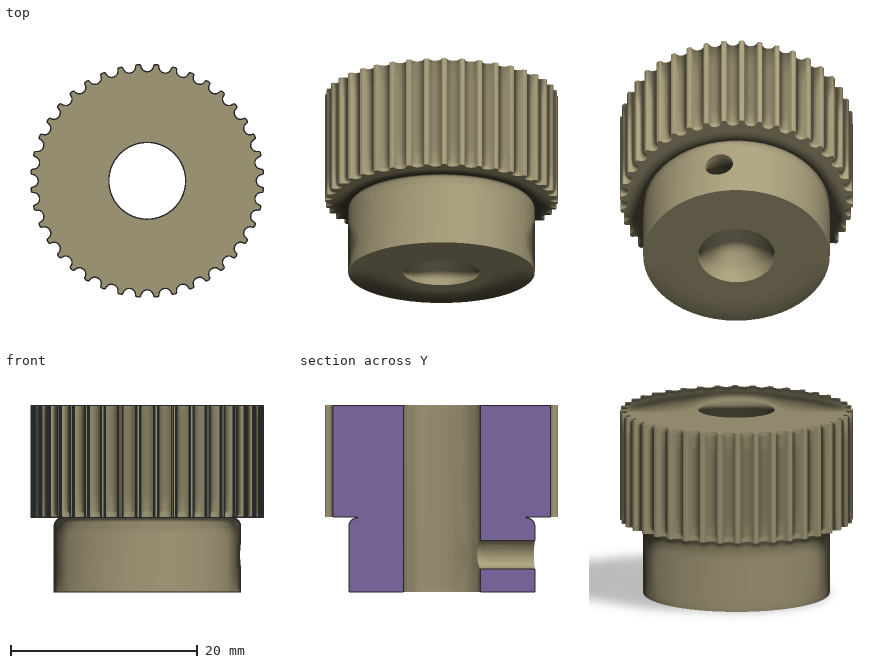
import cadquery as cq
import math

tooth_count = 40
belt_pitch = 2.0
pitch_line_offset = 0.254
total_height = 20.0
hub_height = 8.0
hub_radius = 10.0
hub_fillet = 1.0
bore_diameter = 8.2
set_screw_diameter = 3.0
set_screw_height = hub_height / 2

groove_corners = [
    (0.747183, 0.0),
    (0.647876, 0.037218),
    (0.598311, 0.130528),
    (0.578556, 0.238423),
    (0.547158, 0.343077),
    (0.504649, 0.443762),
    (0.451556, 0.53975),
    (0.358229, 0.636924),
    (0.2484, 0.707276),
    (0.127259, 0.750044),
]
groove_depth = 0.764451
belt_tooth_width = 1.494
width_clearance = 0.2

crest_radius = tooth_count * belt_pitch / (2 * math.pi) - pitch_line_offset
tooth_angle = 2 * math.pi / tooth_count


def rotate(point, angle):
    x, y = point
    return (
        x * math.cos(angle) - y * math.sin(angle),
        x * math.sin(angle) + y * math.cos(angle),
    )


def groove_points():
    """Corners of the groove centred on +X, in order of increasing Y."""
    stretch = (belt_tooth_width + width_clearance) / belt_tooth_width
    mouth_half_width = groove_corners[0][0] * stretch
    mouth_distance = math.sqrt(crest_radius**2 - mouth_half_width**2)

    lower = [(mouth_distance - depth, -half * stretch) for half, depth in groove_corners]
    root = (mouth_distance - groove_depth, 0.0)
    upper = [(x, -y) for x, y in reversed(lower)]
    return lower + [root] + upper


def toothed_section():
    groove = groove_points()
    mouth_start = groove[0]
    crest_middle = rotate((crest_radius, 0.0), tooth_angle / 2)

    outline = cq.Workplane("XY").workplane(offset=hub_height).moveTo(*mouth_start)
    for tooth in range(tooth_count):
        angle = tooth * tooth_angle
        for corner in groove[1:]:
            outline = outline.lineTo(*rotate(corner, angle))
        next_mouth_start = rotate(mouth_start, angle + tooth_angle)
        outline = outline.threePointArc(rotate(crest_middle, angle), next_mouth_start)
    return outline.close().extrude(total_height - hub_height)


def hub():
    cylinder = cq.Workplane("XY").circle(hub_radius).extrude(hub_height)
    return cylinder.faces(">Z").edges().fillet(hub_fillet)


def bore():
    return cq.Workplane("XY").circle(bore_diameter / 2).extrude(total_height)


def set_screw_hole():
    """Radial hole from the +X side of the hub into the bore."""
    start = cq.Workplane("YZ").center(0, set_screw_height)
    return start.circle(set_screw_diameter / 2).extrude(hub_radius)


result = toothed_section().union(hub()).cut(bore()).cut(set_screw_hole())